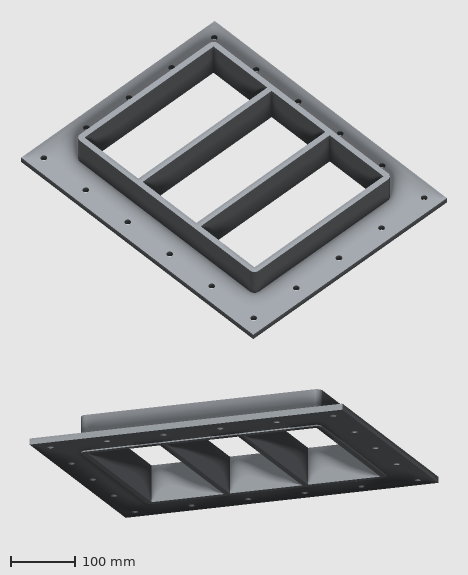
import cadquery as cq

plate_length = 521.5
plate_width = 418.0
plate_thickness = 10.0
plate_bottom = 2.0

frame_length = 401.5
frame_width = 298.5
frame_height = 60.0
wall = 10.0
corner_radius = 10.0

opening_count = 3
opening_length = (frame_length - (opening_count + 1) * wall) / opening_count
opening_width = frame_width - 2 * wall
opening_pitch = opening_length + wall

hole_diameter = 10.5
hole_inset = 25.0
holes_along_x = 6
holes_along_y = 5
hole_span_x = plate_length - 2 * hole_inset
hole_span_y = plate_width - 2 * hole_inset


def make_plate():
    """Flat flange with a rectangular ring of bolt holes."""
    plate = (
        cq.Workplane("XY")
        .workplane(offset=plate_bottom)
        .rect(plate_length, plate_width)
        .extrude(plate_thickness)
    )
    return plate.faces(">Z").workplane().pushPoints(hole_centres()).hole(hole_diameter)


def hole_centres():
    """Evenly spaced points on the perimeter of the bolt rectangle."""
    pitch_x = hole_span_x / (holes_along_x - 1)
    pitch_y = hole_span_y / (holes_along_y - 1)
    centres = []
    for column in range(holes_along_x):
        for row in range(holes_along_y):
            if column in (0, holes_along_x - 1) or row in (0, holes_along_y - 1):
                x = column * pitch_x - hole_span_x / 2
                y = row * pitch_y - hole_span_y / 2
                centres.append((x, y))
    return centres


def make_frame_block():
    """Solid outer envelope of the frame with rounded upright corners."""
    return (
        cq.Workplane("XY")
        .rect(frame_length, frame_width)
        .extrude(frame_height)
        .edges("|Z")
        .fillet(corner_radius)
    )


def make_openings():
    """Row of rectangular through openings; the gaps become the dividers."""
    return (
        cq.Workplane("XY")
        .rarray(opening_pitch, 5, opening_count, 1)
        .rect(opening_length, opening_width)
        .extrude(frame_height)
    )


result = make_plate().union(make_frame_block()).cut(make_openings())